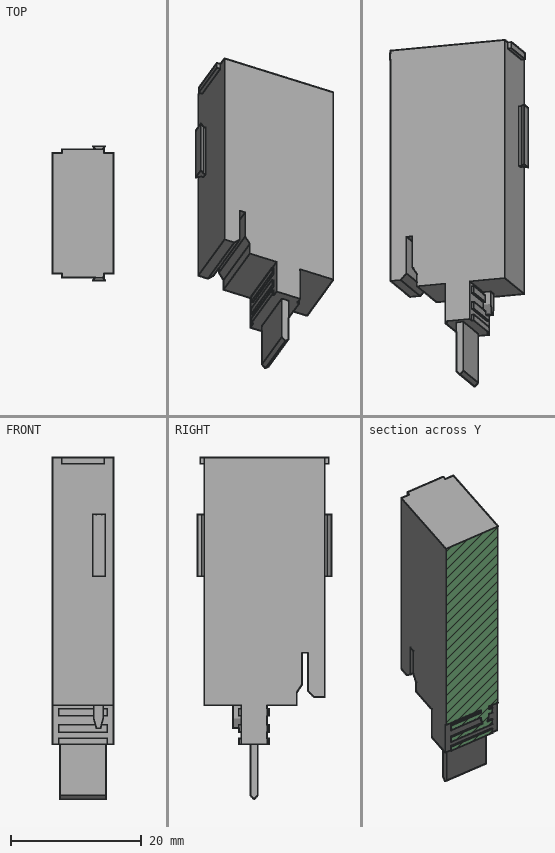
import cadquery as cq

BODY_WIDTH = 9.4
BODY_DEPTH = 18.5
BODY_HEIGHT = 38.0

LEG_DEPTH = 2.6
LEG_BOTTOM_Z = 1.25
LEG_CHAMFER = 0.95
SLOT_WIDTH = 0.9
SLOT_TOP_Z = 8.05
MOUTH_WIDENING = 0.8
MOUTH_BOTTOM_Z = 1.95
MOUTH_TOP_Z = 3.15

LID_WIDTH = 6.5
LID_HEIGHT = 1.0
LID_PROJECTION = 0.6

RAIL_X = 2.45
RAIL_OUTER_WIDTH = 1.95
RAIL_ROOT_WIDTH = 0.8
RAIL_ROOT_LENGTH = 0.35
RAIL_PROJECTION = 1.055
RAIL_HEIGHT = 9.5
RAIL_TOP_INSET = 8.75
RAIL_TOP_Z = BODY_HEIGHT - RAIL_TOP_INSET

NECK_Y = -1.6
NECK_DEPTH = 4.0
NECK_HEIGHT = 6.0
NECK_FRONT_Y = NECK_Y - NECK_DEPTH / 2

RIB_WIDTH = 7.45
RIB_PROJECTION = 0.32
RIB_SPANS_Z = [(-1.6, -0.5), (-4.1, -3.0), (-NECK_HEIGHT, -5.05)]

KEY_X = 2.37
KEY_WIDTH = 1.45
KEY_TIP_WIDTH = 0.65
KEY_LENGTH = 3.5
KEY_STRAIGHT_LENGTH = 2.0
KEY_PROJECTION = 1.25

BLADE_WIDTH = 7.1
BLADE_THICKNESS = 1.15
BLADE_LENGTH = 8.4
BLADE_TIP_HEIGHT = 0.6


def block(width, depth, bottom_z, top_z, y_centre=0.0):
    """Box centred on X, between two heights."""
    height = top_z - bottom_z
    return cq.Workplane("XY").box(width, depth, height).translate((0, y_centre, bottom_z + height / 2))


def extrude_along_x(points, width):
    """Extrude a YZ outline symmetrically about X = 0."""
    return cq.Workplane("YZ").polyline(points).close().extrude(width / 2, both=True)


def make_housing():
    front_y = -BODY_DEPTH / 2
    back_y = BODY_DEPTH / 2
    leg_y = back_y - LEG_DEPTH
    slot_y = leg_y - SLOT_WIDTH
    mouth_y = slot_y - MOUTH_WIDENING
    outline = [
        (front_y, 0),
        (mouth_y, 0),
        (mouth_y, MOUTH_BOTTOM_Z),
        (slot_y, MOUTH_TOP_Z),
        (slot_y, SLOT_TOP_Z),
        (leg_y, SLOT_TOP_Z),
        (leg_y, LEG_BOTTOM_Z + LEG_CHAMFER),
        (leg_y + LEG_CHAMFER, LEG_BOTTOM_Z),
        (back_y, LEG_BOTTOM_Z),
        (back_y, BODY_HEIGHT),
        (front_y, BODY_HEIGHT),
    ]
    return extrude_along_x(outline, BODY_WIDTH)


def make_lids():
    depth = BODY_DEPTH + 2 * LID_PROJECTION
    return block(LID_WIDTH, depth, BODY_HEIGHT - LID_HEIGHT, BODY_HEIGHT)


def make_rail(side):
    """Dovetail rail on the +Y (side = 1) or -Y (side = -1) end."""
    face_y = side * BODY_DEPTH / 2
    flare_y = face_y + side * RAIL_ROOT_LENGTH
    outer_y = face_y + side * RAIL_PROJECTION
    root = RAIL_ROOT_WIDTH / 2
    outer = RAIL_OUTER_WIDTH / 2
    outline = [
        (RAIL_X - root, 0),
        (RAIL_X - root, flare_y),
        (RAIL_X - outer, outer_y),
        (RAIL_X + outer, outer_y),
        (RAIL_X + root, flare_y),
        (RAIL_X + root, 0),
    ]
    base = cq.Workplane("XY").workplane(offset=RAIL_TOP_Z - RAIL_HEIGHT)
    return base.polyline(outline).close().extrude(RAIL_HEIGHT)


def make_neck():
    neck = block(BODY_WIDTH, NECK_DEPTH, -NECK_HEIGHT, 0, NECK_Y)
    rib_depth = NECK_DEPTH + 2 * RIB_PROJECTION
    for bottom_z, top_z in RIB_SPANS_Z:
        neck = neck.union(block(RIB_WIDTH, rib_depth, bottom_z, top_z, NECK_Y))
    return neck


def make_key():
    half = KEY_WIDTH / 2
    tip = KEY_TIP_WIDTH / 2
    outline = [
        (KEY_X - half, 0),
        (KEY_X - half, -KEY_STRAIGHT_LENGTH),
        (KEY_X - tip, -KEY_LENGTH),
        (KEY_X + tip, -KEY_LENGTH),
        (KEY_X + half, -KEY_STRAIGHT_LENGTH),
        (KEY_X + half, 0),
    ]
    plane = cq.Workplane("XZ", origin=(0, NECK_FRONT_Y, 0))
    return plane.polyline(outline).close().extrude(KEY_PROJECTION)


def make_blade():
    half = BLADE_THICKNESS / 2
    tip_z = -NECK_HEIGHT - BLADE_LENGTH
    shoulder_z = tip_z + BLADE_TIP_HEIGHT
    outline = [
        (NECK_Y - half, -NECK_HEIGHT),
        (NECK_Y - half, shoulder_z),
        (NECK_Y, tip_z),
        (NECK_Y + half, shoulder_z),
        (NECK_Y + half, -NECK_HEIGHT),
    ]
    return extrude_along_x(outline, BLADE_WIDTH)


result = make_housing().union(make_lids())
for rail_side in (-1, 1):
    result = result.union(make_rail(rail_side))
result = result.union(make_neck()).union(make_key()).union(make_blade())